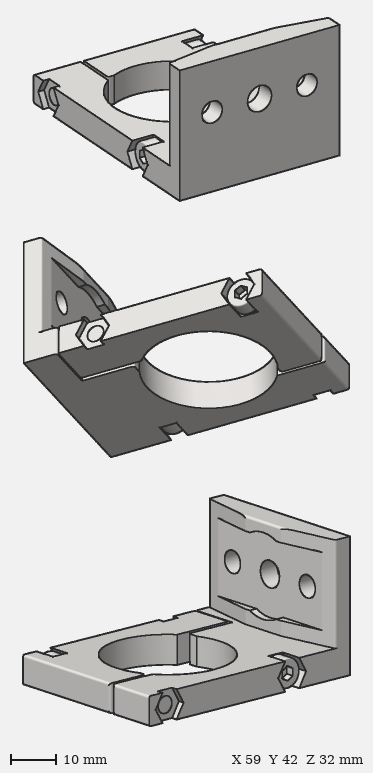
import cadquery as cq
import math


length = 59.0
width = 42.0
height = 32.0
thickness = 7.0
left_x = -24.0
right_x = left_x + length
half_width = width / 2
edge_radius = 0.6

bore_diameter = 30.5
jaw_right_x = 26.5
jaw_right_y = 10.0
jaw_left_y = -8.1
jaw_tip_x = -13.8
bracket_step_x = 26.8
bracket_right_y = 8.85
bracket_left_y = -8.9
bracket_tip_x = 13.9

screw_x = 18.0
screw_z = thickness / 2
screw_diameter = 4.0
head_diameter = 7.0
head_height = 4.0
head_radius = 0.35
socket_flats = 3.0
socket_depth = 2.0
hex_flats = 7.1
pocket_depth = 5.55
pocket_floor = half_width - pocket_depth
outer_end = pocket_floor + head_height

plate_depth = 7.0
plate_x = right_x - plate_depth
crown_half_width = 5.9
slope_angle = 10.0
recess_depth = 2.0
recess_height = 17.95
recess_bulge_diameter = 20.0
center_hole = 6.3
side_hole = 5.3
side_hole_spacing = 24.9
plate_hole_z = (height + thickness) / 2


def round_vertical_edge(body, x, y):
    """Fillet the vertical edge of the clamp slab that stands at (x, y)."""
    corner = cq.selectors.NearestToPointSelector((x, y, thickness / 2))
    return body.edges("|Z").edges(corner).fillet(edge_radius)


def slab(outline):
    """Flat clamp half with the round bore removed."""
    bore = cq.Workplane("XY").circle(bore_diameter / 2).extrude(thickness)
    return cq.Workplane("XY").polyline(outline).close().extrude(thickness).cut(bore)


def y_plane(x, y):
    """Work plane facing -Y on a screw axis; it extrudes toward -Y."""
    return cq.Workplane("XZ", origin=(x, y, screw_z))


def hex_prism(x, y_start, y_end):
    """Hexagon along Y with horizontal flats at top and bottom, trimmed to the slab thickness."""
    corners = hex_flats / math.cos(math.pi / 6)
    prism = y_plane(x, y_end).polygon(6, corners).extrude(y_end - y_start)
    trim = cq.Workplane("XY").box(length, width, thickness, centered=(True, True, False))
    return prism.intersect(trim.translate((x, 0, 0)))


def half_turn(body):
    """Turn a body half a turn about the bore axis."""
    return body.rotate((0, 0, 0), (0, 0, 1), 180)


def cap_screw():
    """Right-hand cap screw, its head on the -Y side and its tip flush with the far nut."""
    head = y_plane(screw_x, -pocket_floor).circle(head_diameter / 2).extrude(head_height)
    head = head.edges("%CIRCLE").fillet(head_radius)
    socket_corners = socket_flats / math.cos(math.pi / 6)
    socket = (
        y_plane(screw_x, socket_depth - outer_end)
        .transformed(rotate=(0, 0, 90))
        .polygon(6, socket_corners)
        .extrude(socket_depth)
    )
    shank = y_plane(screw_x, outer_end).circle(screw_diameter / 2).extrude(outer_end + pocket_floor)
    return head.cut(socket).union(shank)


def head_pocket():
    """Hex pocket for the right-hand screw head, open to the -Y side."""
    return hex_prism(screw_x, -half_width, -pocket_floor)


def nut_pocket():
    """Hex pocket for the left-hand nut, open to the -Y side."""
    return hex_prism(-screw_x, -half_width, -pocket_floor)


def nut():
    """Left-hand nut on the -Y side, bored for the screw of the other half."""
    body = hex_prism(-screw_x, -outer_end, -pocket_floor)
    return body.cut(screw_hole())


def screw_hole():
    """Left-hand hole on the -Y side for the screw of the other half."""
    return y_plane(-screw_x, 0).circle(screw_diameter / 2).extrude(half_width)


def add_fasteners(half, place):
    """Cut the seats into a half, then join its nut and its screw; place positions each piece."""
    for cutter in (head_pocket(), nut_pocket(), screw_hole()):
        half = half.cut(place(cutter))
    return half.union(place(cap_screw())).union(place(nut()), clean=False)


def upright_plate():
    """Plate at the +X end with a crowned inner face, a shallow recess and three holes."""
    slope_run = half_width - crown_half_width
    side_x = plate_x + slope_run * math.tan(math.radians(slope_angle))
    plan = [
        (right_x, -half_width),
        (side_x, -half_width),
        (plate_x, -crown_half_width),
        (plate_x, crown_half_width),
        (side_x, half_width),
        (right_x, half_width),
    ]
    plate = cq.Workplane("XY").polyline(plan).close().extrude(height)
    for side_y in (-half_width, half_width):
        corner = cq.selectors.NearestToPointSelector((side_x, side_y, height / 2))
        plate = plate.edges("|Z").edges(corner).fillet(edge_radius)

    rounded_top = (
        cq.Workplane("XY")
        .box(plate_depth, width, height, centered=False)
        .edges("|Y and <X and >Z")
        .fillet(edge_radius)
        .translate((plate_x, -half_width, 0))
    )
    plate = plate.intersect(rounded_top)

    inner_face = cq.Workplane("YZ", origin=(plate_x, 0, plate_hole_z))
    plate = plate.cut(inner_face.rect(width, recess_height).extrude(recess_depth))
    plate = plate.cut(inner_face.circle(recess_bulge_diameter / 2).extrude(recess_depth))
    plate = plate.cut(inner_face.circle(center_hole / 2).extrude(plate_depth))
    side_points = [(-side_hole_spacing / 2, 0), (side_hole_spacing / 2, 0)]
    return plate.cut(inner_face.pushPoints(side_points).circle(side_hole / 2).extrude(plate_depth))


def make_bracket():
    """Clamp half on the -Y side with the upright plate."""
    outline = [
        (left_x, -half_width),
        (right_x, -half_width),
        (right_x, half_width),
        (bracket_step_x, half_width),
        (bracket_step_x, bracket_right_y),
        (bracket_tip_x, bracket_right_y),
        (bracket_tip_x, 0),
        (0, bracket_left_y),
        (left_x, bracket_left_y),
    ]
    bracket = slab(outline)
    bracket = round_vertical_edge(bracket, bracket_step_x, half_width)
    bracket = round_vertical_edge(bracket, bracket_tip_x, bracket_right_y)
    bracket = bracket.faces("<X").edges("not <Y").fillet(edge_radius)
    bracket = bracket.union(upright_plate())
    return add_fasteners(bracket, lambda piece: piece)


def make_jaw():
    """Loose clamp half on the +Y side."""
    outline = [
        (left_x, half_width),
        (jaw_right_x, half_width),
        (jaw_right_x, jaw_right_y),
        (0, jaw_right_y),
        (jaw_tip_x, 0),
        (jaw_tip_x, jaw_left_y),
        (left_x, jaw_left_y),
    ]
    jaw = slab(outline)
    jaw = round_vertical_edge(jaw, jaw_right_x, half_width)
    jaw = round_vertical_edge(jaw, jaw_right_x, jaw_right_y)
    jaw = round_vertical_edge(jaw, jaw_tip_x, jaw_left_y)
    jaw = jaw.faces("<X").edges("not >Y").fillet(edge_radius)
    return add_fasteners(jaw, half_turn)


bracket = make_bracket()
jaw = make_jaw()

result = cq.Compound.makeCompound([bracket.solids().val(), jaw.solids().val()])